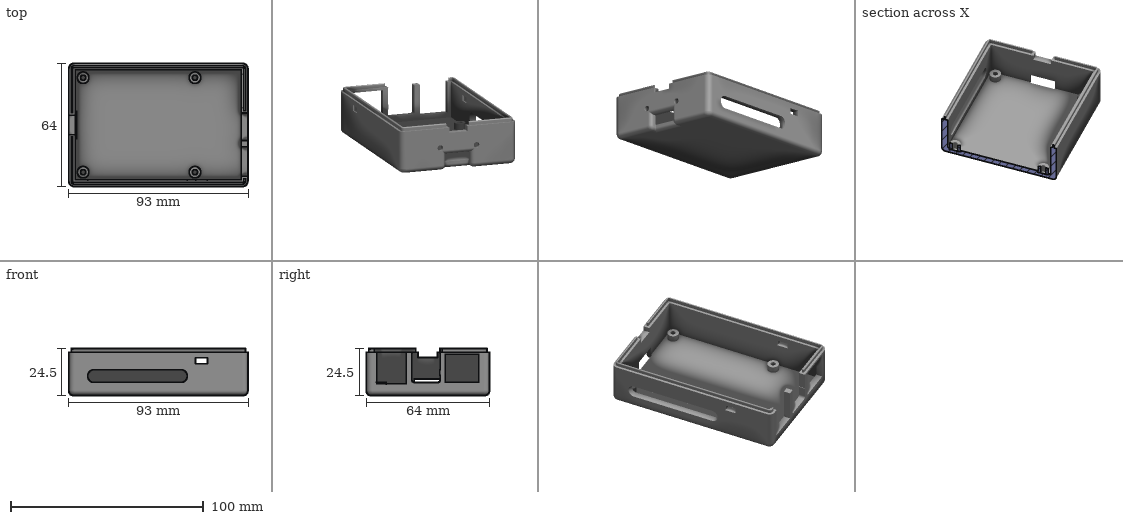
import cadquery as cq
import math

length = 93.0
width = 64.0
wall = 3.5
floor_top = wall
rim_z = 22.5
corner_radius = 3.0
bottom_radius = 2.5
outer_x = length / 2
outer_y = width / 2
inner_x = outer_x - wall
inner_y = outer_y - wall

lip_height = 2.0
lip_width = 1.0
lip_inset = (wall - lip_width) / 2
lip_edge_radius = lip_width / 2
lip_top = rim_z + lip_height
lip_end_gap = lip_inset

standoff_diameter = 6.0
standoff_bore = 2.7
standoff_height = 3.5
standoff_seat_depth = 1.0
standoff_x = (-39.0, 19.0)
standoff_y = (-24.5, 24.5)
standoff_places = [(x, y) for x in standoff_x for y in standoff_y]
port_sill = floor_top + standoff_height - 0.2

top_notch_width = 10.0
top_notch_bottom = 19.8
card_slot_width = 14.0
card_slot_top = 8.5
card_slot_depth = 4.0
card_slot_radius = 2.0
dimple_diameter = 3.0
dimple_spacing = 20.0
dimple_z = 12.0
dimple_depth = 2.0

port_slot_x = (-36.65, 15.0)
port_slot_height = 6.65
latch_window_length = 6.0
latch_window_height = 3.0
latch_window_x = 22.4
latch_window_z = 18.1

end_window_y = (9.0, 26.4)
end_window_sill = 7.0
end_window_top = 21.3
middle_notch_y = (-8.05, 6.15)
middle_notch_radius = 1.4
middle_relief = 0.25
middle_relief_top = 22.2
middle_rib_z = (10.6, 13.3)
corner_notch_y = (-26.6, -11.2)
corner_notch_bottom = 6.0


def box(x_range, y_range, z_range):
    """Box spanning the given ranges along X, Y and Z."""
    sizes = [high - low for low, high in (x_range, y_range, z_range)]
    corner = (x_range[0], y_range[0], z_range[0])
    return cq.Workplane("XY").box(*sizes, centered=False).translate(corner)


def shell():
    """Open tray with rounded upright corners and a rounded bottom edge."""
    outside = (
        cq.Workplane("XY")
        .box(length, width, rim_z, centered=(True, True, False))
        .edges("|Z")
        .fillet(corner_radius)
        .faces("<Z")
        .edges()
        .fillet(bottom_radius)
    )
    cavity = box((-inner_x, inner_x), (-inner_y, inner_y), (floor_top, rim_z))
    return outside.cut(cavity)


def flared_opening(plane, opening, flared_side, reach):
    """Channel of lip height; one upper corner, at +1 or -1, flares outward to the lip crest."""
    half = opening / 2
    shoulder = lip_height - lip_edge_radius
    bulge = lip_edge_radius * (1 - math.sqrt(0.5))
    return (
        cq.Workplane(plane, origin=(0, 0, rim_z))
        .moveTo(-flared_side * half, 0)
        .lineTo(flared_side * half, 0)
        .lineTo(flared_side * half, shoulder)
        .threePointArc(
            (flared_side * (half + bulge), lip_height - bulge),
            (flared_side * (half + lip_edge_radius), lip_height),
        )
        .lineTo(-flared_side * half, lip_height)
        .close()
        .extrude(reach, both=True)
    )


def lip():
    """Ring on the rim, cut away at the end openings.

    Its outer edge is rounded all round; on the +X and -Y sides the inner edge is rounded too,
    which gives those sides a full half-round crest.
    """
    ring_length = length - 2 * lip_inset
    ring_width = width - 2 * lip_inset
    outside = (
        cq.Workplane("XY", origin=(0, 0, rim_z))
        .rect(ring_length, ring_width)
        .extrude(lip_height)
        .edges("|Z")
        .fillet(corner_radius - lip_inset)
        .faces(">Z")
        .edges()
        .fillet(lip_edge_radius)
    )
    across = flared_opening("XZ", ring_length - 2 * lip_width, 1, outer_y)
    along = flared_opening("YZ", ring_width - 2 * lip_width, -1, outer_x)
    ring = outside.cut(across.intersect(along))
    card_end_half = top_notch_width / 2 + lip_end_gap
    card_end_gap = box((-outer_x, -inner_x), (-card_end_half, card_end_half), (rim_z, lip_top))
    port_end_y = (corner_notch_y[0] - lip_end_gap, middle_notch_y[1] + lip_end_gap)
    port_end_gap = box((inner_x, outer_x), port_end_y, (rim_z, lip_top))
    return ring.cut(card_end_gap).cut(port_end_gap)


def top_notch():
    """Shallow notch in the rim of the -X wall."""
    half = top_notch_width / 2
    return box((-outer_x, -inner_x), (-half, half), (top_notch_bottom, rim_z))


def cut_card_slot(body):
    """Memory card slot through the -X wall and the floor, with its outer edges rounded."""
    half = card_slot_width / 2
    mouth_half = half + card_slot_radius
    slot_back = -outer_x + card_slot_depth
    body = body.cut(box((-outer_x, slot_back), (-half, half), (0, rim_z)))

    margin = 0.1
    slot_half = half + margin
    wall_edges = cq.selectors.BoxSelector(
        (-outer_x - margin, -slot_half, -margin),
        (-outer_x + bottom_radius - margin, slot_half, rim_z - margin),
    )
    underside_edges = cq.selectors.BoxSelector(
        (-outer_x, -slot_half, -margin),
        (slot_back + margin, slot_half, margin),
    )
    body = body.edges(wall_edges + underside_edges).fillet(card_slot_radius)

    lintel = (
        box((-outer_x, -inner_x), (-mouth_half, mouth_half), (card_slot_top, rim_z))
        .edges("<X and <Z")
        .fillet(card_slot_radius)
    )
    return body.union(lintel)


def dimples():
    """Two blind round holes in the outside of the -X wall, above the card slot."""
    return (
        cq.Workplane("YZ", origin=(-outer_x, 0, dimple_z))
        .rarray(dimple_spacing, 1, 2, 1)
        .circle(dimple_diameter / 2)
        .extrude(dimple_depth)
    )


def port_slot():
    """Long round-ended connector opening through the -Y wall."""
    start, end = port_slot_x
    centre_z = port_sill + port_slot_height / 2
    return (
        cq.Workplane("XZ", origin=((start + end) / 2, -inner_y, centre_z))
        .slot2D(end - start, port_slot_height)
        .extrude(wall)
    )


def latch_windows():
    """Matching rectangular windows through both long walls."""
    return (
        cq.Workplane("XZ", origin=(latch_window_x, 0, latch_window_z))
        .rect(latch_window_length, latch_window_height)
        .extrude(outer_y, both=True)
    )


def end_openings():
    """Closed window and two open notches through the +X wall."""
    through_wall = (inner_x, outer_x)
    window = box(through_wall, end_window_y, (end_window_sill, end_window_top))
    middle_notch = box(through_wall, middle_notch_y, (middle_rib_z[0], rim_z))
    relief_y = (middle_notch_y[0] - middle_relief, middle_notch_y[1] + middle_relief)
    relief = box(through_wall, relief_y, (port_sill, middle_relief_top))
    relief = relief.faces("<Z").edges("|X").fillet(middle_notch_radius)
    rib = box(through_wall, (middle_notch_y[1], relief_y[1]), middle_rib_z)
    middle_notch = middle_notch.union(relief).cut(rib)
    corner_notch = box(through_wall, corner_notch_y, (corner_notch_bottom, rim_z))
    return [window, middle_notch, corner_notch]


def standoff_seats():
    """Round recesses in the floor that hold the standoffs."""
    return (
        cq.Workplane("XY", origin=(0, 0, floor_top - standoff_seat_depth))
        .pushPoints(standoff_places)
        .circle(standoff_diameter / 2)
        .extrude(standoff_seat_depth)
    )


def case():
    body = cut_card_slot(shell())
    for opening in [top_notch(), dimples(), port_slot(), latch_windows(), *end_openings(), standoff_seats()]:
        body = body.cut(opening)
    return body.union(lip())


def standoff(x, y):
    """Bored round post seated in the floor."""
    return (
        cq.Workplane("XY", origin=(x, y, floor_top - standoff_seat_depth))
        .circle(standoff_diameter / 2)
        .circle(standoff_bore / 2)
        .extrude(standoff_seat_depth + standoff_height)
    )


standoffs = [standoff(x, y) for x, y in standoff_places]

result = cq.Compound.makeCompound([case().val(), *[post.val() for post in standoffs]])